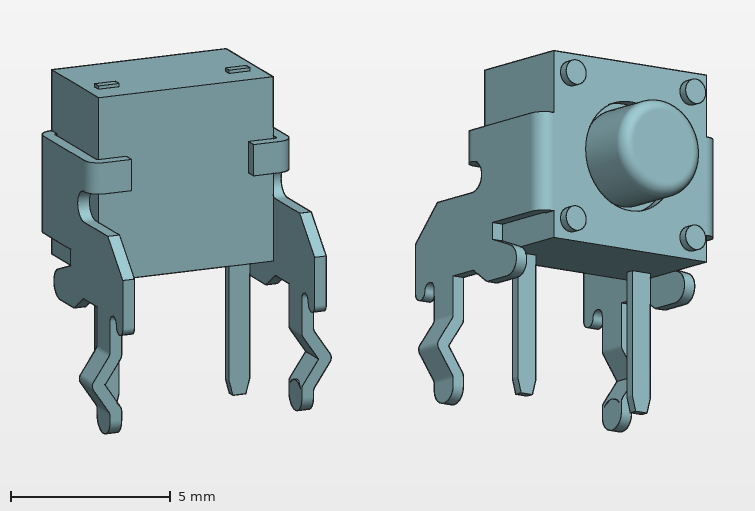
import cadquery as cq
import math


body_size = 6.0
body_half = body_size / 2
body_back = 3.6
sheet = 0.4

button_radius = 1.55
button_reach = 1.75
button_round = 0.37
opening_radius = 1.75

peg_radius = 0.39
peg_reach = 0.3
peg_offset = 2.34

pin_front = 2.41
pin_thickness = 0.29
pin_width = 0.71
pin_offset = 2.25
pin_stub = 0.11
pin_taper_length = 0.49
pin_tip_width = 0.45
total_height = 10.6
bottom = body_half + pin_stub - total_height

clearance = 0.1
side_inner = body_half + clearance
side_outer = side_inner + sheet
bend_radius = clearance + sheet
wing_top = 1.02
wing_bottom = -2.14
tab_inner_edge = 2.1
relief_radius = 0.5
arm_top = -2 * relief_radius
arm_back = 6.55
corner_front = 5.41
corner_bottom = wing_bottom
arm_bottom = -3.5
foot_bottom = -3.99
hook_radius = (arm_bottom - foot_bottom) / 2
foot_ramp_front = 2.83
foot_ramp_back = 3.54
lobe_front = 1.28
lobe_radius = 0.5
lobe_slope = math.radians(20)
slot_back = 2.54

leg_width = 1.0
leg_back = arm_back - 4 * hook_radius
leg_front = leg_back - leg_width
overall_width = 8.22
bulge_reach = overall_width / 2
bulge_center = -5.77
bulge_angle = math.radians(34.5)
bulge_round = 0.24


def box(x_range, y_range, z_range):
    """Axis-aligned box between the given limits."""
    lengths = [high - low for low, high in (x_range, y_range, z_range)]
    return cq.Workplane("XY").box(*lengths, centered=False).translate(
        (x_range[0], y_range[0], z_range[0])
    )


def rod(radius, x_start, x_end, y=0, z=0):
    """Cylinder along X."""
    return cq.Workplane("YZ", origin=(x_start, y, z)).circle(radius).extrude(x_end - x_start)


def make_body():
    span = (-body_half, body_half)
    plate = box((0, sheet), span, span).cut(rod(opening_radius, 0, sheet))
    body = plate.union(box((sheet, body_back), span, span))
    button = rod(button_radius, -button_reach, sheet).faces("<X").edges().fillet(button_round)
    body = body.union(button)
    for y in (-peg_offset, peg_offset):
        for z in (-peg_offset, peg_offset):
            body = body.union(rod(peg_radius, -peg_reach, 0, y, z))
    return body


def make_pin():
    """Flat terminal that shows as a stub above the body and tapers at its lower end."""
    top = body_half + pin_stub
    taper_start = bottom + pin_taper_length
    return (
        cq.Workplane("YZ", origin=(pin_front, pin_offset, 0))
        .moveTo(-pin_width / 2, top)
        .lineTo(pin_width / 2, top)
        .lineTo(pin_width / 2, taper_start)
        .lineTo(pin_tip_width / 2, bottom)
        .lineTo(-pin_tip_width / 2, bottom)
        .lineTo(-pin_width / 2, taper_start)
        .close()
        .extrude(pin_thickness)
    )


def make_bend(center_x, x_direction, z_low, z_high):
    """Quarter-turn bend around a vertical axis, joining the side plate to a cross wall."""
    ring = (
        cq.Workplane("XY", origin=(center_x, body_half, z_low))
        .circle(bend_radius)
        .circle(clearance)
        .extrude(z_high - z_low)
    )
    x_limits = sorted((center_x, center_x + x_direction * bend_radius))
    return ring.intersect(box(x_limits, (body_half, side_outer), (z_low, z_high)))


def make_side_plate():
    lobe_x = lobe_front + lobe_radius
    lobe_z = foot_bottom + lobe_radius
    tangent_x = lobe_x - lobe_radius * math.sin(lobe_slope)
    tangent_z = lobe_z + lobe_radius * math.cos(lobe_slope)
    slot_low = tangent_z + (slot_back - tangent_x) * math.tan(lobe_slope)
    middle_x = lobe_x - lobe_radius * math.cos(lobe_slope / 2)
    middle_z = lobe_z - lobe_radius * math.sin(lobe_slope / 2)
    hook_z = arm_bottom - hook_radius
    notch_back = leg_back + 2 * hook_radius
    return (
        cq.Workplane("XZ", origin=(0, side_outer, 0))
        .moveTo(bend_radius, wing_top)
        .lineTo(body_back, wing_top)
        .lineTo(body_back, 0)
        .threePointArc((body_back - relief_radius, -relief_radius), (body_back, arm_top))
        .lineTo(corner_front, arm_top)
        .lineTo(arm_back, corner_bottom)
        .lineTo(arm_back, hook_z)
        .threePointArc((arm_back - hook_radius, foot_bottom), (notch_back, hook_z))
        .threePointArc((leg_back + hook_radius, arm_bottom), (leg_back, hook_z))
        .lineTo(leg_front, hook_z)
        .lineTo(leg_front, arm_bottom)
        .lineTo(foot_ramp_back, arm_bottom)
        .lineTo(foot_ramp_front, foot_bottom)
        .lineTo(lobe_x, foot_bottom)
        .threePointArc((middle_x, middle_z), (tangent_x, tangent_z))
        .lineTo(slot_back, slot_low)
        .lineTo(slot_back, wing_bottom)
        .lineTo(bend_radius, wing_bottom)
        .close()
        .extrude(sheet)
    )


def make_leg():
    """Strip of constant thickness that zigzags outward and ends in a round tip."""
    start = arm_bottom - hook_radius
    tip_radius = leg_width / 2
    tip_z = bottom + tip_radius
    outer_apex = bulge_reach + bulge_round * (1 / math.cos(bulge_angle) - 1)
    inner_apex = outer_apex - sheet / math.cos(bulge_angle)
    outer_rise = (outer_apex - side_outer) / math.tan(bulge_angle)
    inner_rise = (inner_apex - side_inner) / math.tan(bulge_angle)
    strip = (
        cq.Workplane("YZ", origin=(leg_front, 0, 0))
        .moveTo(side_outer, start)
        .lineTo(side_outer, bulge_center + outer_rise)
        .lineTo(outer_apex, bulge_center)
        .lineTo(side_outer, bulge_center - outer_rise)
        .lineTo(side_outer, tip_z)
        .lineTo(side_inner, tip_z)
        .lineTo(side_inner, bulge_center - inner_rise)
        .lineTo(inner_apex, bulge_center)
        .lineTo(side_inner, bulge_center + inner_rise)
        .lineTo(side_inner, start)
        .close()
        .extrude(leg_width)
    )
    margin = 0.05
    bends = cq.selectors.BoxSelector(
        (leg_front, side_inner - margin, bulge_center - outer_rise - margin),
        (leg_back, outer_apex + margin, bulge_center + outer_rise + margin),
    )
    inner_crease = cq.selectors.BoxSelector(
        (leg_front, inner_apex - margin, bulge_center - margin),
        (leg_back, inner_apex + margin, bulge_center + margin),
    )
    rounded_edges = cq.selectors.SubtractSelector(bends, inner_crease)
    strip = strip.edges("|X").edges(rounded_edges).fillet(bulge_round)
    tip = (
        cq.Workplane("XZ", origin=((leg_front + leg_back) / 2, side_outer, tip_z))
        .circle(tip_radius)
        .extrude(sheet)
    )
    return strip.union(tip)


def make_bracket_side():
    tab_front = body_back + clearance
    tab = box((tab_front, tab_front + sheet), (tab_inner_edge, body_half), (0, wing_top))
    return (
        make_side_plate()
        .union(make_bend(bend_radius, -1, wing_bottom, wing_top))
        .union(make_bend(body_back, 1, 0, wing_top))
        .union(tab)
        .union(make_leg())
    )


paired_fittings = [make_pin(), make_bracket_side()]
result = make_body()
for fitting in paired_fittings:
    result = result.union(fitting).union(fitting.mirror("XZ"))